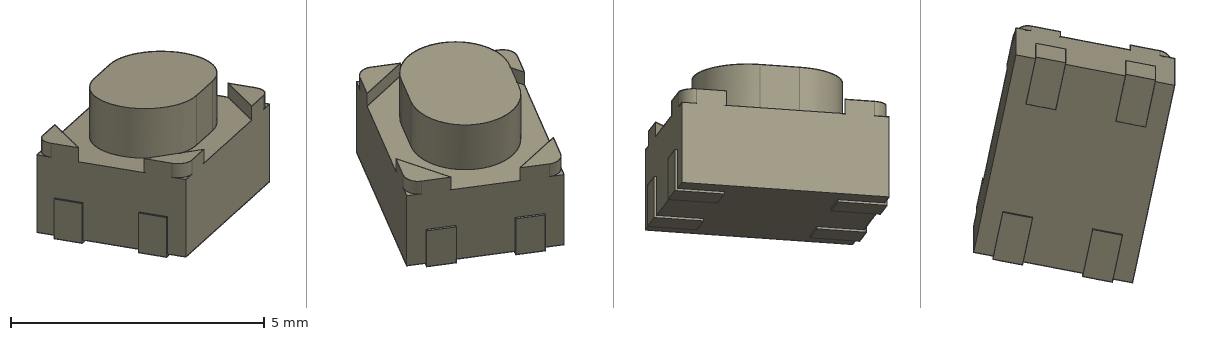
import cadquery as cq

body_width = 3.2
body_length = 4.2
body_height = 1.66

post_leg = 0.9
post_height = 0.3
post_corner_radius = 0.3

button_width = 2.2
button_length = 3.0
button_rise_above_posts = 0.76

terminal_width = 0.6
terminal_pitch = 1.81
terminal_thickness = 0.05
terminal_height = 0.85
terminal_foot_length = 1.0

overall_length = body_length + 2 * terminal_thickness
button_height = post_height + button_rise_above_posts


def make_body():
    """Rectangular housing with its underside at Z = 0."""
    return cq.Workplane("XY").box(body_width, body_length, body_height, centered=(True, True, False))


def make_posts():
    """Four triangular posts cut from a rounded slab, one on each corner of the housing."""
    half_width = body_width / 2
    half_length = body_length / 2
    slab = (
        cq.Workplane("XY", origin=(0, 0, body_height))
        .rect(body_width, body_length)
        .extrude(post_height)
        .edges("|Z")
        .fillet(post_corner_radius)
    )
    triangles = cq.Workplane("XY", origin=(0, 0, body_height))
    for side_x in (-1, 1):
        for side_y in (-1, 1):
            corner_x = side_x * half_width
            corner_y = side_y * half_length
            triangles = (
                triangles.moveTo(corner_x, corner_y)
                .lineTo(corner_x - side_x * post_leg, corner_y)
                .lineTo(corner_x, corner_y - side_y * post_leg)
                .close()
            )
    return slab.intersect(triangles.extrude(post_height))


def make_button():
    """Obround button standing on the housing, long along Y."""
    return (
        cq.Workplane("XY", origin=(0, 0, body_height))
        .slot2D(button_length, button_width, angle=90)
        .extrude(button_height)
    )


def make_terminal(center_x, side_y):
    """Terminal that runs under the housing and turns up its end face at +Y or -Y."""
    outer_y = side_y * overall_length / 2
    face_y = side_y * body_length / 2
    foot_end_y = outer_y - side_y * terminal_foot_length
    bottom_z = -terminal_thickness
    top_z = bottom_z + terminal_height
    return (
        cq.Workplane("YZ", origin=(center_x, 0, 0))
        .polyline(
            [
                (outer_y, bottom_z),
                (outer_y, top_z),
                (face_y, top_z),
                (face_y, 0),
                (foot_end_y, 0),
                (foot_end_y, bottom_z),
            ]
        )
        .close()
        .extrude(terminal_width / 2, both=True)
    )


result = make_body().union(make_posts()).union(make_button())
for center_x in (-terminal_pitch / 2, terminal_pitch / 2):
    for side_y in (-1, 1):
        result = result.union(make_terminal(center_x, side_y))